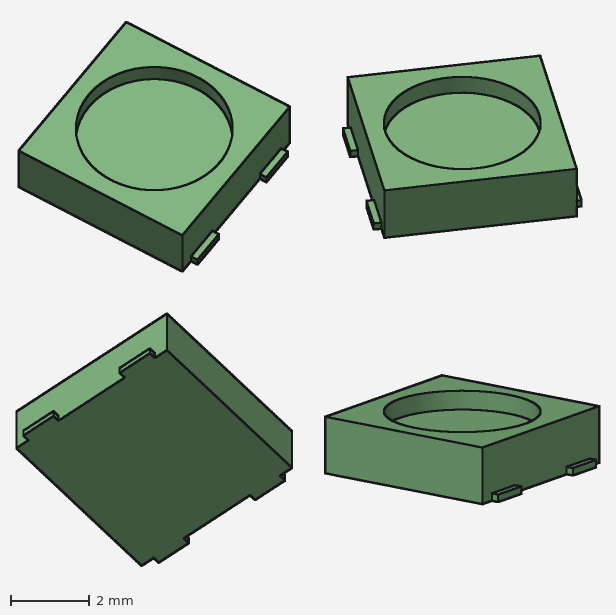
import cadquery as cq

body_side = 5.0
body_height = 1.5

recess_diameter = 4.0
recess_depth = 0.5

lead_reach = 0.2
lead_width = 1.0
lead_thickness = 0.2
lead_pitch = 3.2
overall_length = body_side + 2 * lead_reach


def make_body():
    """Square block with a shallow round recess in its top face."""
    block = cq.Workplane("XY").box(body_side, body_side, body_height, centered=(True, True, False))
    return block.faces(">Z").workplane().hole(recess_diameter, recess_depth)


def make_lead_bar(y_center):
    """Bar through the body along X whose two ends stick out as leads."""
    bar = cq.Workplane("XY").box(overall_length, lead_width, lead_thickness, centered=(True, True, False))
    return bar.translate((0, y_center, 0))


result = make_body()
for side in (-1, 1):
    result = result.union(make_lead_bar(side * lead_pitch / 2))